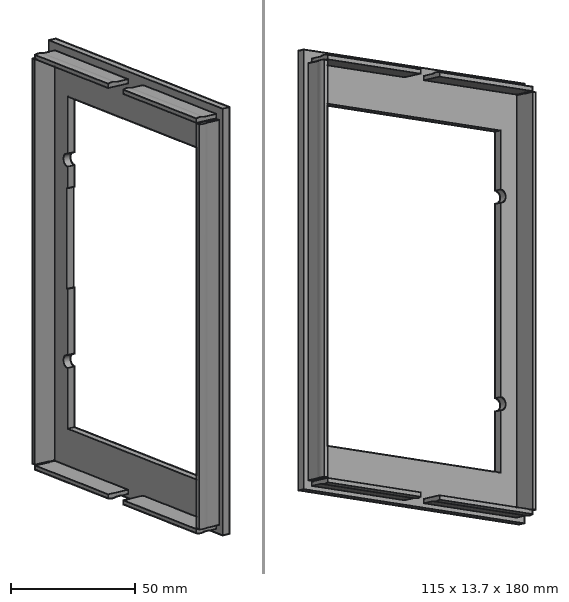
import cadquery as cq

plate_width = 115.0
plate_height = 180.0
plate_thickness = 3.6
total_depth = 13.7

inner_center_z = -0.7
window_width = 90.0
window_height = 140.0

notch_radius = 2.7
notch_center_x = 45.0
notch_spacing_z = 85.0

relief_depth = 0.5
relief_height = 42.5
relief_center_z = 9.4

wall_thickness = 1.8
wall_span_x = 110.3
wall_span_z = 175.0
side_wall_length = 170.8
end_wall_gap = 9.9
bead_length = 4.1
bead_height = 0.4

back_y = total_depth / 2
plate_front_y = back_y - plate_thickness
tip_y = -total_depth / 2
bead_start_y = tip_y + bead_length
wall_inner_x = wall_span_x / 2 - wall_thickness
end_wall_length = wall_inner_x - end_wall_gap / 2


def block(width, depth, height, x, y, z):
    return cq.Workplane("XY").box(width, depth, height).translate((x, y, z))


def make_plate():
    plate_y = back_y - plate_thickness / 2
    plate = block(plate_width, plate_thickness, plate_height, 0, plate_y, 0)
    window = block(window_width, total_depth, window_height, 0, plate_y, inner_center_z)
    relief = block(2 * relief_depth, total_depth, relief_height, -window_width / 2, plate_y, relief_center_z)
    notches = (
        cq.Workplane("XZ", origin=(0, back_y, 0))
        .rarray(2 * notch_center_x, notch_spacing_z, 2, 2)
        .circle(notch_radius)
        .extrude(plate_thickness)
    )
    return plate.cut(window).cut(relief).cut(notches)


def make_wall(length, outer_offset):
    """Wall centred along Z, with its beaded outer face toward +X."""
    inner_offset = outer_offset - wall_thickness
    return (
        cq.Workplane("XY")
        .moveTo(inner_offset, plate_front_y)
        .lineTo(outer_offset, plate_front_y)
        .lineTo(outer_offset, bead_start_y)
        .threePointArc((outer_offset + bead_height, (bead_start_y + tip_y) / 2), (outer_offset, tip_y))
        .lineTo(inner_offset, tip_y)
        .close()
        .extrude(length / 2, both=True)
    )


def turn_about_y(body, angle):
    return body.rotate((0, 0, 0), (0, 1, 0), angle)


def make_walls():
    side_wall = make_wall(side_wall_length, wall_span_x / 2)
    end_wall = make_wall(end_wall_length, wall_span_z / 2)
    end_wall_center = (end_wall_gap + end_wall_length) / 2
    walls = []
    for angle in (0, 180):
        walls.append(turn_about_y(side_wall, angle))
        for side in (-1, 1):
            shifted_wall = end_wall.translate((0, 0, side * end_wall_center))
            walls.append(turn_about_y(shifted_wall, angle + 90))
    return [wall.translate((0, 0, inner_center_z)) for wall in walls]


result = make_plate()
for wall in make_walls():
    result = result.union(wall)